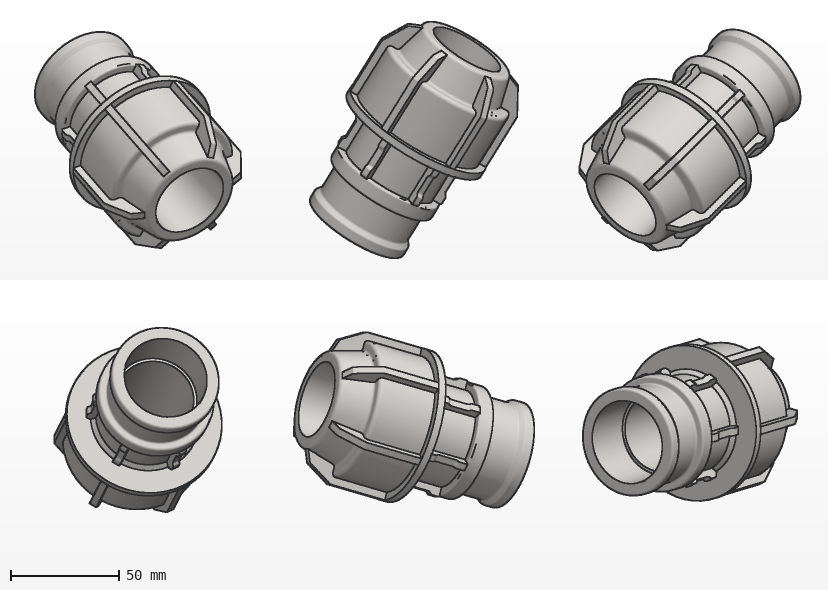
import cadquery as cq

LIP_TAPER_START = 5.2
LIP_TAPER_END = 7.6
COLLAR_START = 22.6
COLLAR_END = 30.3
BARREL_FLARE_START = 50.7
FLANGE_START = 52.8
FLANGE_END = 56.5
NUT_SHOULDER = 85.2
NUT_CONE_START = 86.4
TOTAL_LENGTH = 101.0

BARREL_RADIUS = 46.74 / 2
LIP_RADIUS = 50.64 / 2
COLLAR_RADIUS = 54.53 / 2
FLANGE_RADIUS = 73.0 / 2
NUT_RADIUS = 32.75
NUT_CONE_BASE_RADIUS = 27.1
NUT_END_RADIUS = 23.3
MOUTH_BORE_RADIUS = 38.95 / 2
THROUGH_BORE_RADIUS = 36.0 / 2
MOUTH_BORE_DEPTH = 25.1

LIP_FILLET = 1.2
LIP_TAPER_FILLET = 1.0
COLLAR_ROOT_FILLET = 0.9
COLLAR_FRONT_FILLET = 1.2
COLLAR_REAR_FILLET = 0.9
SHOULDER_FILLET = 2.0
CONE_ROOT_FILLET = 1.5
NUT_END_FILLET = 2.1
PAD_FILLET = 1.4
CREST_FILLET = 0.8

SELECTION_MARGIN = 0.05

RIB_COUNT = 6
RIB_THICKNESS = 3.6
RIB_ROOT_RADIUS = 20.5

PAD_RADIUS = 27.9
SADDLE_RADIUS = 26.6
PAD_STEP = PAD_RADIUS - SADDLE_RADIUS
PAD_END_SLOPE = FLANGE_START - BARREL_FLARE_START
PAD_FRONT = 30.7
PAD_REAR = BARREL_FLARE_START
SADDLE_FRONT = 35.9
SADDLE_REAR = 45.4

CREST_RELIEF = 0.08
CREST_RADIUS = FLANGE_RADIUS - CREST_RELIEF
CREST_END = 85.1
CREST_SLOPE_END = 97.5
CREST_SLOPE_RADIUS = 29.5
RIB_TIP_RADIUS = 21.1


def revolve_about_x(profile):
    """Turn a profile drawn as (x, radius) into a body about the X axis."""
    return profile.close().revolve(360, (0, 0, 0), (1, 0, 0))


def circles_at(x, radius):
    """Selector for the circular edges at the given station and radius."""
    tolerance = SELECTION_MARGIN
    outer = radius + tolerance
    inner = radius - tolerance
    within_outer = cq.selectors.BoxSelector(
        (x - tolerance, -outer, -outer), (x + tolerance, outer, outer), boundingbox=True
    )
    within_inner = cq.selectors.BoxSelector(
        (x - tolerance, -inner, -inner), (x + tolerance, inner, inner), boundingbox=True
    )
    return within_outer - within_inner


def make_barrel():
    """Spigot with its tapered lip, the sealing collar and the flared neck."""
    flare_radius = BARREL_RADIUS + (FLANGE_START - BARREL_FLARE_START)
    barrel = revolve_about_x(
        cq.Workplane("XY")
        .moveTo(0, 0)
        .lineTo(0, LIP_RADIUS)
        .lineTo(LIP_TAPER_START, LIP_RADIUS)
        .lineTo(LIP_TAPER_END, BARREL_RADIUS)
        .lineTo(COLLAR_START, BARREL_RADIUS)
        .lineTo(COLLAR_START, COLLAR_RADIUS)
        .lineTo(COLLAR_END, COLLAR_RADIUS)
        .lineTo(COLLAR_END, BARREL_RADIUS)
        .lineTo(BARREL_FLARE_START, BARREL_RADIUS)
        .lineTo(FLANGE_START, flare_radius)
        .lineTo(FLANGE_END, flare_radius)
        .lineTo(FLANGE_END, 0)
    )
    roundings = [
        (0, LIP_RADIUS, LIP_FILLET),
        (LIP_TAPER_START, LIP_RADIUS, LIP_TAPER_FILLET),
        (LIP_TAPER_END, BARREL_RADIUS, LIP_TAPER_FILLET),
        (COLLAR_START, BARREL_RADIUS, COLLAR_ROOT_FILLET),
        (COLLAR_START, COLLAR_RADIUS, COLLAR_FRONT_FILLET),
        (COLLAR_END, COLLAR_RADIUS, COLLAR_REAR_FILLET),
    ]
    for station, radius, fillet in roundings:
        barrel = barrel.edges(circles_at(station, radius)).fillet(fillet)
    return barrel


def make_nut():
    """Flange, cylindrical nut body and the narrower conical end."""
    cone_slope = (NUT_CONE_BASE_RADIUS - NUT_END_RADIUS) / (TOTAL_LENGTH - NUT_CONE_START)
    cone_root_radius = NUT_CONE_BASE_RADIUS + cone_slope * (NUT_CONE_START - NUT_SHOULDER)
    nut = revolve_about_x(
        cq.Workplane("XY")
        .moveTo(FLANGE_START, 0)
        .lineTo(FLANGE_START, FLANGE_RADIUS)
        .lineTo(FLANGE_END, FLANGE_RADIUS)
        .lineTo(FLANGE_END, NUT_RADIUS)
        .lineTo(NUT_SHOULDER, NUT_RADIUS)
        .lineTo(NUT_SHOULDER, cone_root_radius)
        .lineTo(TOTAL_LENGTH, NUT_END_RADIUS)
        .lineTo(TOTAL_LENGTH, 0)
    )
    roundings = [
        (NUT_SHOULDER, NUT_RADIUS, SHOULDER_FILLET),
        (NUT_SHOULDER, cone_root_radius, CONE_ROOT_FILLET),
        (TOTAL_LENGTH, NUT_END_RADIUS, NUT_END_FILLET),
    ]
    for station, radius, fillet in roundings:
        nut = nut.edges(circles_at(station, radius)).fillet(fillet)
    return nut


def rib_ring(outline, low_corner, high_corner, fillet):
    """Thicken a rib outline drawn as (x, radius) and repeat it around the axis.

    Outline corners inside the (x, radius) box between the two given corners are rounded.
    """
    margin = SELECTION_MARGIN
    rounded_corners = cq.selectors.BoxSelector(
        (low_corner[0] - margin, low_corner[1] - margin, -RIB_THICKNESS),
        (high_corner[0] + margin, high_corner[1] + margin, RIB_THICKNESS),
    )
    rib = outline.close().extrude(RIB_THICKNESS / 2, both=True)
    rib = rib.edges("|Z").edges(rounded_corners).fillet(fillet)
    ring = rib
    for index in range(1, RIB_COUNT):
        angle = index * 360 / RIB_COUNT
        ring = ring.union(rib.rotate((0, 0, 0), (1, 0, 0), angle))
    return ring


def make_barrel_ribs():
    """Ribs between collar and flange, each with two pads and a saddle."""
    outline = (
        cq.Workplane("XY")
        .moveTo(PAD_FRONT - PAD_END_SLOPE, RIB_ROOT_RADIUS)
        .lineTo(PAD_FRONT - PAD_END_SLOPE, PAD_RADIUS - PAD_END_SLOPE)
        .lineTo(PAD_FRONT, PAD_RADIUS)
        .lineTo(SADDLE_FRONT - PAD_STEP, PAD_RADIUS)
        .lineTo(SADDLE_FRONT, SADDLE_RADIUS)
        .lineTo(SADDLE_REAR, SADDLE_RADIUS)
        .lineTo(SADDLE_REAR + PAD_STEP, PAD_RADIUS)
        .lineTo(PAD_REAR, PAD_RADIUS)
        .lineTo(PAD_REAR + PAD_END_SLOPE, PAD_RADIUS - PAD_END_SLOPE)
        .lineTo(PAD_REAR + PAD_END_SLOPE, RIB_ROOT_RADIUS)
    )
    return rib_ring(outline, (PAD_FRONT, SADDLE_RADIUS), (PAD_REAR, PAD_RADIUS), PAD_FILLET)


def make_nut_ribs():
    """Grip ribs from the flange to the end of the nut."""
    outline = (
        cq.Workplane("XY")
        .moveTo(FLANGE_START, RIB_ROOT_RADIUS)
        .lineTo(FLANGE_START, CREST_RADIUS)
        .lineTo(CREST_END, CREST_RADIUS)
        .lineTo(CREST_SLOPE_END, CREST_SLOPE_RADIUS)
        .lineTo(TOTAL_LENGTH, RIB_TIP_RADIUS)
        .lineTo(TOTAL_LENGTH, RIB_ROOT_RADIUS)
    )
    return rib_ring(
        outline, (CREST_END, CREST_SLOPE_RADIUS), (CREST_SLOPE_END, CREST_RADIUS), CREST_FILLET
    )


def make_bore():
    """Through bore with a wider section at the spigot mouth."""
    through = cq.Workplane("YZ").circle(THROUGH_BORE_RADIUS).extrude(TOTAL_LENGTH)
    mouth = cq.Workplane("YZ").circle(MOUTH_BORE_RADIUS).extrude(MOUTH_BORE_DEPTH)
    return through.union(mouth)


body = make_barrel().union(make_nut())
ribs = make_barrel_ribs().union(make_nut_ribs())
result = body.union(ribs).cut(make_bore())